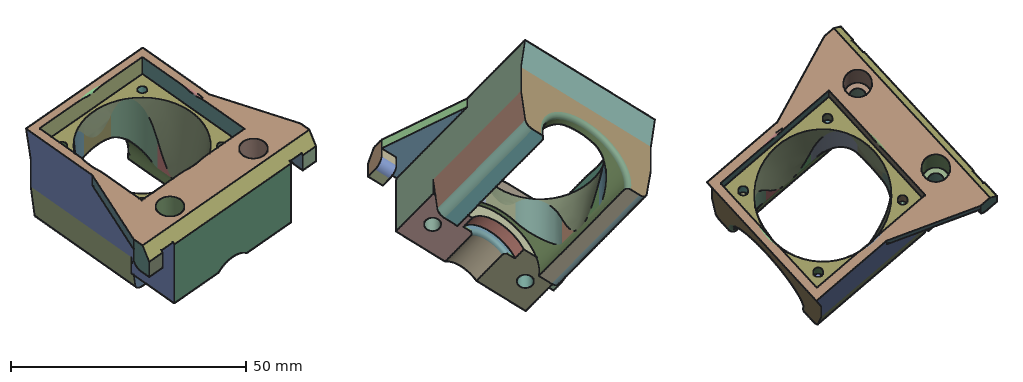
import cadquery as cq
import math

LENGTH = 44.7
BODY_WIDTH = 35.0
BODY_HEIGHT = 21.0
FRONT_SLOPE_DEPTH = 8.0
FRONT_SETBACK = 1.4
REAR_CHAMFER_LENGTH = 2.0
REAR_CHAMFER_DEPTH = 3.5

TOTAL_HEIGHT = 27.0
SKIRT_END = 31.8
TAPER_START_DEPTH = 16.2
SKIRT_BOTTOM_WIDTH = 32.3
SKIRT_CORNER_RADIUS = 2.0

WING_SPAN = 50.0
WING_THICKNESS = 3.0
WING_START = 20.0
WING_FULL_SPAN_START = 40.0
HOOK_WIDTH = 4.0
HOOK_DEPTH = 8.0
HOOK_RADIUS = 2.25

FAN_X = 17.4
FAN_POCKET_SIZE = 30.8
FAN_POCKET_DEPTH = 5.0
FAN_HOLE_SPACING = 24.0
FAN_HOLE_DIAMETER = 2.1
FAN_HOLE_DEPTH = 5.0
FUNNEL_TOP_RADIUS = 15.5
FUNNEL_BOTTOM_RADIUS = 11.0
FUNNEL_DEPTH = 25.0
FUNNEL_LIP_RADIUS = 0.5
DUCT_LENGTH = 26.9
DUCT_WIDTH = 2 * FUNNEL_BOTTOM_RADIUS
DUCT_CORNER_RADIUS = 7.0

TUNNEL_RADIUS = 11.1
TUNNEL_AXIS_DEPTH = 25.2
TUNNEL_LIP_RADIUS = 1.1
COUNTERBORE_RADIUS = 8.1
COUNTERBORE_LENGTH = 3.0
BORE_RADIUS = 5.95
BORE_LIP_RADIUS = 1.0
STEP_CHAMFER_HEIGHT = 0.5
STEP_CHAMFER_LENGTH = 0.125

SCREW_X = 38.4
SCREW_SPACING = 25.0
SCREW_DIAMETER = 3.6
SCREW_HEAD_DIAMETER = 6.1
SCREW_HEAD_DEPTH = 10.5


def side_profile():
    """Side outline (XZ) shared by the body and the wings, down to the skirt bottom."""
    return [
        (0, 0),
        (LENGTH - REAR_CHAMFER_LENGTH, 0),
        (LENGTH, -REAR_CHAMFER_DEPTH),
        (LENGTH, -BODY_HEIGHT),
        (SKIRT_END, -BODY_HEIGHT),
        (SKIRT_END, -TOTAL_HEIGHT),
        (FRONT_SETBACK, -TOTAL_HEIGHT),
        (FRONT_SETBACK, -FRONT_SLOPE_DEPTH),
    ]


def side_slab(width):
    """The side outline extruded to a width centred on Y = 0."""
    return cq.Workplane("XZ").polyline(side_profile()).close().extrude(width / 2, both=True)


def skirt_section():
    """Front section from the top face down to the rounded, tapered skirt."""
    half_top = BODY_WIDTH / 2
    half_bottom = SKIRT_BOTTOM_WIDTH / 2
    section = (
        cq.Workplane("YZ")
        .polyline([
            (-half_top, 0),
            (half_top, 0),
            (half_top, -TAPER_START_DEPTH),
            (half_bottom, -TOTAL_HEIGHT),
            (-half_bottom, -TOTAL_HEIGHT),
            (-half_top, -TAPER_START_DEPTH),
        ])
        .close()
        .extrude(SKIRT_END)
    )
    return section.edges("|X and <Z").fillet(SKIRT_CORNER_RADIUS)


def body():
    rear_block = cq.Workplane("XY").box(
        LENGTH - SKIRT_END, BODY_WIDTH, BODY_HEIGHT, centered=(False, True, False)
    ).translate((SKIRT_END, 0, -BODY_HEIGHT))
    return skirt_section().union(rear_block).intersect(side_slab(BODY_WIDTH))


def wings():
    half_body = BODY_WIDTH / 2
    half_span = WING_SPAN / 2
    plate = (
        cq.Workplane("XY")
        .polyline([
            (WING_START, -half_body),
            (WING_FULL_SPAN_START, -half_span),
            (LENGTH, -half_span),
            (LENGTH, half_span),
            (WING_FULL_SPAN_START, half_span),
            (WING_START, half_body),
        ])
        .close()
        .extrude(-WING_THICKNESS)
    )
    hook = (
        cq.Workplane("XY")
        .box(LENGTH - WING_FULL_SPAN_START, HOOK_WIDTH, HOOK_DEPTH, centered=(False, True, False))
        .edges("|Y and <X and <Z").fillet(HOOK_RADIUS)
        .translate((WING_FULL_SPAN_START, 0, -HOOK_DEPTH))
    )
    hook_offset = (WING_SPAN - HOOK_WIDTH) / 2
    for side in (-1, 1):
        plate = plate.union(hook.translate((0, side * hook_offset, 0)))
    return plate.intersect(side_slab(WING_SPAN))


def fan_seat():
    """Square fan pocket with a fixing hole near each corner."""
    pocket = (
        cq.Workplane("XY").center(FAN_X, 0)
        .rect(FAN_POCKET_SIZE, FAN_POCKET_SIZE).extrude(-FAN_POCKET_DEPTH)
    )
    holes = (
        cq.Workplane("XY", origin=(FAN_X, 0, -FAN_POCKET_DEPTH))
        .rect(FAN_HOLE_SPACING, FAN_HOLE_SPACING, forConstruction=True)
        .vertices().circle(FAN_HOLE_DIAMETER / 2).extrude(-FAN_HOLE_DEPTH)
    )
    return pocket.union(holes)


def funnel():
    """Cone narrowing from the top face to the duct width, with a rounded upper lip."""
    slope = math.atan2(FUNNEL_TOP_RADIUS - FUNNEL_BOTTOM_RADIUS, FUNNEL_DEPTH)
    lip_reach = FUNNEL_LIP_RADIUS * math.tan((math.pi / 2 - slope) / 2)
    lip_outer = FUNNEL_TOP_RADIUS + lip_reach
    lip_inner = (
        FUNNEL_TOP_RADIUS - lip_reach * math.sin(slope),
        -lip_reach * math.cos(slope),
    )
    return (
        cq.Workplane("XZ", origin=(FAN_X, 0, 0))
        .moveTo(0, 0)
        .lineTo(lip_outer, 0)
        .radiusArc(lip_inner, -FUNNEL_LIP_RADIUS)
        .lineTo(FUNNEL_BOTTOM_RADIUS, -FUNNEL_DEPTH)
        .lineTo(0, -FUNNEL_DEPTH)
        .close()
        .revolve(360, (0, 0, 0), (0, 1, 0))
    )


def duct():
    """Rounded rectangular duct from the fan seat down into the tunnel."""
    return (
        cq.Workplane("XY", origin=(FAN_X, 0, -FAN_POCKET_DEPTH))
        .rect(DUCT_LENGTH, DUCT_WIDTH)
        .extrude(FAN_POCKET_DEPTH - TOTAL_HEIGHT)
        .edges("|Z").fillet(DUCT_CORNER_RADIUS)
    )


def cylinder_along_x(radius, start, end):
    """Cylinder on the tunnel axis between two X positions."""
    return cq.Workplane("YZ", origin=(start, 0, -TUNNEL_AXIS_DEPTH)).circle(radius).extrude(end - start)


def flared_cylinder(radius, lip, start, end):
    """Cylinder on the tunnel axis whose mouth at the start flares out by a quarter round."""
    return (
        cq.Workplane("XZ", origin=(0, 0, -TUNNEL_AXIS_DEPTH))
        .moveTo(start, 0)
        .lineTo(start, radius + lip)
        .radiusArc((start + lip, radius), -lip)
        .lineTo(end, radius)
        .lineTo(end, 0)
        .close()
        .revolve(360, (0, 0, 0), (1, 0, 0))
    )


def tunnel():
    """Tunnel under the skirt, then a counterbore and a narrower bore through the rear block."""
    bore_start = SKIRT_END + COUNTERBORE_LENGTH
    tunnel_bore = flared_cylinder(TUNNEL_RADIUS, TUNNEL_LIP_RADIUS, FRONT_SETBACK, SKIRT_END)
    counterbore = cylinder_along_x(COUNTERBORE_RADIUS, SKIRT_END, bore_start)
    bore = flared_cylinder(BORE_RADIUS, BORE_LIP_RADIUS, bore_start, LENGTH)
    step_chamfer = (
        cq.Workplane("XZ")
        .polyline([
            (bore_start, -BODY_HEIGHT),
            (bore_start + STEP_CHAMFER_LENGTH, -BODY_HEIGHT),
            (bore_start, STEP_CHAMFER_HEIGHT - BODY_HEIGHT),
        ])
        .close()
        .extrude(COUNTERBORE_RADIUS, both=True)
        .intersect(cylinder_along_x(COUNTERBORE_RADIUS, bore_start, LENGTH))
    )
    return tunnel_bore.union(counterbore).union(bore).union(step_chamfer)


def screw_holes():
    points = [(SCREW_X, side * SCREW_SPACING / 2) for side in (-1, 1)]
    plane = cq.Workplane("XY").pushPoints(points)
    shank = plane.circle(SCREW_DIAMETER / 2).extrude(-BODY_HEIGHT)
    head = plane.circle(SCREW_HEAD_DIAMETER / 2).extrude(-SCREW_HEAD_DEPTH)
    return shank.union(head)


result = body().union(wings())
for cutter in (tunnel(), fan_seat(), funnel(), duct(), screw_holes()):
    result = result.cut(cutter)